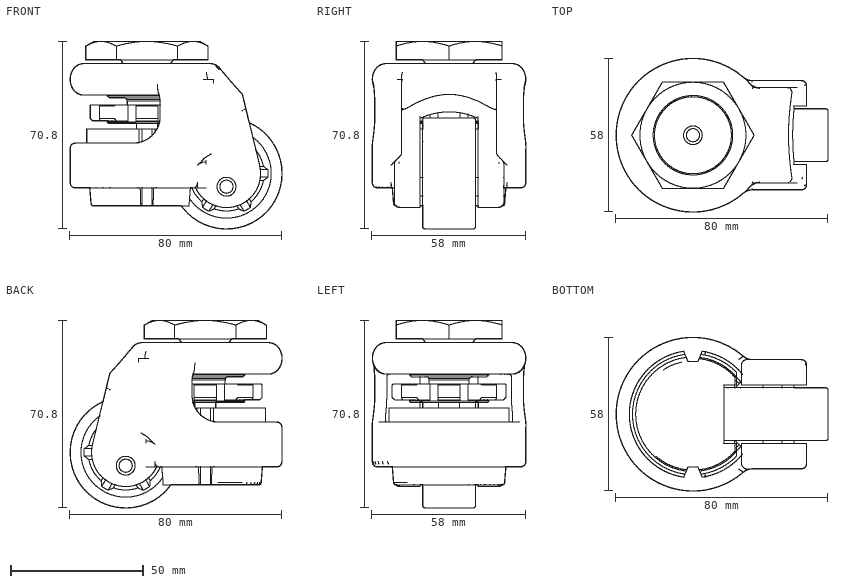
import cadquery as cq
import math


housing_radius = 29.0
cap_top = 62.5
cap_height = 12.0
cap_bottom = cap_top - cap_height
cap_middle = cap_top - cap_height / 2
cap_flat_radius = 23.7
cap_round = 5.0
cap_round_sweep = 60.0
stem_diameter = 18.0
boss_diameter = 30.0
boss_height = 1.0

ring_bottom = 15.5
ring_top = 32.5
edge_round = 2.0
room_radius = 24.0
room_round = 1.0

window_edge = 5.0
window_round = 10.0
window_rise = 47.8

ramp_angle = 49.0
ramp_sink = 0.1
rear_lean = 13.6
roof_drop = 4.8
tail_start = 16.0
web_half_width = 17.9
cheek_half_width = 20.6
cheek_top = 26.7
cheek_slope_length = cheek_half_width - web_half_width
cheek_step_round = 2.0
tail_edge_round = 2.0
blend_radius = 5.0
slot_half_width = 11.0

wheel_x = 30.0
wheel_diameter = 42.0
wheel_radius = wheel_diameter / 2
wheel_z = wheel_radius
wheel_width = 20.0
wheel_edge_round = 1.0
fork_end_radius = 12.9
rim_mouth_radius = 16.9
rim_inner_radius = 16.0
rim_recess = 1.6
pocket_depth = 4.8
wheel_hub_diameter = 24.0
rib_count = 6
pocket_floor_radius = 14.2
rib_top_width = 2.8
rib_base_width = 5.3
rib_height = 4.0

pin_diameter = 7.1
pin_z = 16.0
pin_recess = 2.0
dome_diameter = 5.0
dome_height = 1.8

nut_top = 70.8
nut_height = 7.0
nut_bottom = nut_top - nut_height
nut_flats = 40.0
nut_chamfer_angle = 30.0
neck_flare = 1.0
nut_recess_diameter = 30.0
nut_recess_depth = 0.5
stem_bottom = 48.4
stem_tip_length = 0.4
stem_chamfer = 1.4
spindle_diameter = 7.0

teeth_count = 8
tooth_width = 8.4
teeth_radius = 21.4
teeth_bottom = 40.8
teeth_top = 46.9
tooth_side_round = 0.5
tooth_top_chamfer = 0.4
tooth_bottom_chamfer = 1.0
thumb_hub_diameter = 30.0
thumb_bottom = 39.9
thumb_hub_chamfer = 0.4
collar_diameter = 15.0

foot_top = 37.8
foot_bottom = 8.7
foot_radius = 22.8
foot_lower_radius = 21.6
foot_draft = 0.6
foot_edge_round = 1.0
foot_end_x = 16.4
foot_stem_diameter = 8.0
dish_rim_radius = 18.2
dish_floor_radius = 17.0
dish_depth = 0.5
wheel_gap = 1.0
notch_floor_y = 19.9
notch_floor_half_width = 1.88
notch_mouth_half_width = 3.1

reach = 80.0


def revolve_about_stem(outline):
    """Solid of revolution of an (r, z) outline about the Z axis."""
    return outline.close().revolve(360, (0, 0, 0), (0, 1, 0))


def disc(radius, z_low, z_high):
    return cq.Workplane("XY", origin=(0, 0, z_low)).circle(radius).extrude(z_high - z_low)


def round_point(center_r, center_z, radius, angle):
    """Point on a circle, the angle measured from +Z towards +R."""
    turn = math.radians(angle)
    return center_r + radius * math.sin(turn), center_z + radius * math.cos(turn)


def domed_rod(diameter, length):
    """Rod along +Z from the origin, its far end carrying a spherical dome on a flat rim."""
    base_radius = dome_diameter / 2
    sphere_radius = (base_radius**2 + dome_height**2) / (2 * dome_height)
    sphere_z = length + dome_height - sphere_radius
    base_angle = math.degrees(math.acos((sphere_radius - dome_height) / sphere_radius))
    dome = (
        cq.Workplane("XZ")
        .moveTo(0, length)
        .lineTo(base_radius, length)
        .threePointArc(
            round_point(0, sphere_z, sphere_radius, base_angle / 2),
            (0, length + dome_height),
        )
    )
    return disc(diameter / 2, 0, length).union(revolve_about_stem(dome))


def housing_cap():
    """Round plate with a soft rim: two corner arcs joined by a flatter bulge."""
    upper_z = cap_top - cap_round
    lower_z = cap_bottom + cap_round
    half_sweep = cap_round_sweep / 2
    outline = (
        cq.Workplane("XZ")
        .moveTo(0, cap_bottom)
        .lineTo(cap_flat_radius, cap_bottom)
        .threePointArc(
            round_point(cap_flat_radius, lower_z, cap_round, 180 - half_sweep),
            round_point(cap_flat_radius, lower_z, cap_round, 180 - cap_round_sweep),
        )
        .threePointArc(
            (housing_radius, cap_middle),
            round_point(cap_flat_radius, upper_z, cap_round, cap_round_sweep),
        )
        .threePointArc(
            round_point(cap_flat_radius, upper_z, cap_round, half_sweep),
            (cap_flat_radius, cap_top),
        )
        .lineTo(0, cap_top)
    )
    return revolve_about_stem(outline)


def housing_ring():
    """Lower ring and side columns, with the front window cut through."""
    body = disc(housing_radius, ring_bottom, cap_middle).faces("<Z").edges().fillet(edge_round)
    arc_x = window_edge - window_round
    low_z = ring_top + window_round
    half = window_round * math.sqrt(0.5)
    high_rise = cap_middle - window_rise
    high_x = arc_x + math.sqrt(window_round**2 - high_rise**2)
    mid_x = arc_x + math.sqrt(window_round**2 - (high_rise / 2) ** 2)
    window = (
        cq.Workplane("XZ")
        .moveTo(-reach, ring_top)
        .lineTo(arc_x, ring_top)
        .threePointArc((arc_x + half, low_z - half), (window_edge, low_z))
        .lineTo(window_edge, window_rise)
        .threePointArc((mid_x, window_rise + high_rise / 2), (high_x, cap_middle))
        .lineTo(-reach, cap_middle)
        .close()
        .extrude(reach, both=True)
    )
    body = body.cut(window)
    rim = cq.selectors.BoxSelector(
        (-reach, -reach, ring_top - 0.1), (window_edge + 0.1, reach, cap_middle - 0.1)
    )
    outer_edges = [
        edge
        for edge in body.edges(rim).vals()
        if all(
            math.hypot(*edge.positionAt(t).toTuple()[:2]) > housing_radius - 0.01
            for t in (0.25, 0.5, 0.75)
        )
    ]
    return body.newObject(outer_edges).fillet(edge_round)


def ramp_cone(drop):
    """Cone whose side is tangent to the cap rim and falls away from it, lowered by drop."""
    tangent = round_point(cap_flat_radius, cap_top - cap_round, cap_round, ramp_angle)
    slope = math.tan(math.radians(ramp_angle))
    apex_z = tangent[1] + tangent[0] * slope
    outline = (
        cq.Workplane("XZ")
        .moveTo(0, apex_z)
        .lineTo(0, apex_z - reach * slope)
        .lineTo(reach, apex_z - reach * slope)
    )
    return revolve_about_stem(outline).translate((0, 0, -drop))


def is_tail_outline(edge):
    """True for the edges that run along the ramp, the rear and the round of a tail side."""
    box = edge.BoundingBox()
    on_one_side = box.ymin * box.ymax > 0.64
    level = box.zlen < 0.01
    return on_one_side and box.xmax > tail_start + 0.01 and not level


def tail():
    """Web with thicker cheeks below, ending in a round around the wheel."""
    section = [
        (-cheek_half_width, 0),
        (cheek_half_width, 0),
        (cheek_half_width, cheek_top - cheek_slope_length / 2),
        (web_half_width, cheek_top + cheek_slope_length / 2),
        (web_half_width, reach),
        (-web_half_width, reach),
        (-web_half_width, cheek_top + cheek_slope_length / 2),
        (-cheek_half_width, cheek_top - cheek_slope_length / 2),
    ]
    bar = cq.Workplane("YZ", origin=(tail_start, 0, 0)).polyline(section).close().extrude(reach)
    steps = cq.selectors.BoxSelector(
        (0, -reach, cheek_top - cheek_slope_length),
        (2 * reach, reach, cheek_top + cheek_slope_length),
    )
    bar = bar.edges("|X").edges(steps).fillet(cheek_step_round)

    low_x = wheel_x - math.sqrt(fork_end_radius**2 - (wheel_z - ring_bottom) ** 2)
    lean = math.radians(rear_lean)
    tangent = (
        wheel_x + fork_end_radius * math.cos(lean),
        wheel_z + fork_end_radius * math.sin(lean),
    )
    top_x = tangent[0] - (reach - tangent[1]) * math.tan(lean)
    side = (
        cq.Workplane("XZ")
        .moveTo(tail_start, ring_bottom)
        .lineTo(low_x, ring_bottom)
        .threePointArc((wheel_x, wheel_z - fork_end_radius), tangent)
        .lineTo(top_x, reach)
        .lineTo(tail_start, reach)
        .close()
        .extrude(reach, both=True)
    )
    body = bar.intersect(side).intersect(ramp_cone(ramp_sink))
    outline_edges = [edge for edge in body.edges().vals() if is_tail_outline(edge)]
    body = body.newObject(outline_edges).fillet(tail_edge_round)
    rim_radius = round_point(cap_flat_radius, 0, cap_round, ramp_angle)[0]
    return body.cut(disc(rim_radius, cap_middle, reach))


def blend(half_width, z_low, z_high):
    """Concave fillet between the housing cylinder and a flat side at +Y."""
    center_y = half_width + blend_radius
    center_distance = housing_radius + blend_radius
    center_x = math.sqrt(center_distance**2 - center_y**2)
    touch = (
        center_x * housing_radius / center_distance,
        center_y * housing_radius / center_distance,
    )
    mid_angle = (math.atan2(-center_y, -center_x) - math.pi / 2) / 2
    middle = (
        center_x + blend_radius * math.cos(mid_angle),
        center_y + blend_radius * math.sin(mid_angle),
    )
    return (
        cq.Workplane("XY", origin=(0, 0, z_low))
        .moveTo(*touch)
        .threePointArc(middle, (center_x, half_width))
        .lineTo(center_x, half_width - 0.8)
        .lineTo(tail_start, half_width - 0.8)
        .close()
        .extrude(z_high - z_low)
    )


def housing_room():
    """Room inside the housing for the foot, the thumbwheel and the wheel."""
    bore = disc(room_radius, ring_bottom, cap_bottom)
    slot = (
        cq.Workplane("XY")
        .rect(reach, 2 * slot_half_width)
        .extrude(cap_bottom)
        .translate((reach / 2, 0, 0))
        .intersect(ramp_cone(roof_drop))
    )
    corners = cq.selectors.BoxSelector(
        (tail_start, -slot_half_width - 0.1, ring_bottom + 0.8),
        (room_radius, slot_half_width + 0.1, cap_bottom),
    )
    room = bore.union(slot)
    room = room.edges("|Z").edges(corners).fillet(room_round)
    return room.faces(">Z").edges().fillet(room_round)


def foot_notch(side):
    """Flared vertical notch in the foot, on the +Y (1) or -Y (-1) side."""
    flare = (notch_mouth_half_width - notch_floor_half_width) / (foot_radius - notch_floor_y)
    far_half_width = notch_mouth_half_width + 1.6 * flare
    outline = [
        (-notch_floor_half_width, side * notch_floor_y),
        (notch_floor_half_width, side * notch_floor_y),
        (far_half_width, side * (foot_radius + 1.6)),
        (-far_half_width, side * (foot_radius + 1.6)),
    ]
    return cq.Workplane("XY").polyline(outline).close().extrude(reach)


def make_housing():
    body = housing_cap().union(housing_ring()).union(tail())
    step_low = cheek_top - cheek_slope_length / 2
    step_high = cheek_top + cheek_slope_length / 2
    slope = (
        cq.Workplane("YZ")
        .moveTo(0, 0)
        .lineTo(cheek_half_width + cheek_slope_length, 0)
        .lineTo(cheek_half_width + cheek_slope_length, step_low - cheek_slope_length)
        .lineTo(web_half_width, step_high)
        .lineTo(0, step_high)
        .close()
        .extrude(reach)
    )
    lower_blend = blend(cheek_half_width, ring_bottom, step_high).intersect(slope)
    upper_blend = blend(web_half_width, cheek_top, cap_middle)
    for one_blend in (lower_blend, upper_blend):
        body = body.union(one_blend).union(one_blend.mirror("XZ"))
    body = body.cut(housing_room())

    boss = disc(boss_diameter / 2, cap_bottom - boss_height, cap_bottom)
    body = body.union(boss.faces("<Z").edges().chamfer(boss_height * 0.8))
    for side in (1, -1):
        key = foot_notch(side).intersect(disc(room_radius + 0.4, ring_bottom, ring_top))
        body = body.union(key)
    body = body.cut(disc(stem_diameter / 2, cap_bottom - boss_height, cap_top))
    pin_hole = pin_rod(2 * cheek_half_width)
    return body.cut(pin_hole)


def pin_rod(length):
    return (
        cq.Workplane("XZ", origin=(wheel_x, length / 2, pin_z))
        .circle(pin_diameter / 2)
        .extrude(length)
    )


def wheel_recess():
    """Hollow in the -Y face of the wheel: flared rim mouth, then pockets between ribs."""
    outer_face = -wheel_width / 2
    rib_face = outer_face + rim_recess
    floor = outer_face + rim_recess + pocket_depth
    outline = (
        cq.Workplane("XY")
        .moveTo(wheel_hub_diameter / 2, outer_face)
        .lineTo(rim_mouth_radius, outer_face)
        .lineTo(rim_inner_radius, rib_face)
        .lineTo(pocket_floor_radius, floor)
        .lineTo(wheel_hub_diameter / 2, floor)
        .close()
    )
    ring = outline.revolve(360, (0, 0, 0), (0, 1, 0))
    rib_section = [
        (floor, -rib_base_width / 2),
        (floor - rib_height, -rib_top_width / 2),
        (floor - rib_height, rib_top_width / 2),
        (floor, rib_base_width / 2),
    ]
    for index in range(rib_count):
        rib = cq.Workplane("YZ").polyline(rib_section).close().extrude(rim_inner_radius)
        rib = rib.rotate((0, 0, 0), (0, 1, 0), index * 360 / rib_count)
        ring = ring.cut(rib)
    return ring


def make_wheel():
    tread = cq.Workplane("XZ", origin=(0, wheel_width / 2, 0)).circle(wheel_radius)
    body = tread.extrude(wheel_width).edges().fillet(wheel_edge_round)
    recess = wheel_recess()
    body = body.cut(recess).cut(recess.mirror("XZ"))
    return body.translate((wheel_x, 0, wheel_z)).cut(pin_rod(wheel_width))


def make_pin():
    half_length = cheek_half_width - pin_recess
    half = domed_rod(pin_diameter, half_length).rotate((0, 0, 0), (1, 0, 0), 90)
    return half.union(half.mirror("XZ")).translate((wheel_x, 0, pin_z))


def make_nut():
    corner_diameter = nut_flats / math.cos(math.pi / 6)
    hexagon = (
        cq.Workplane("XY", origin=(0, 0, nut_bottom))
        .polygon(6, corner_diameter)
        .extrude(nut_height)
    )
    chamfer_run = (corner_diameter - nut_flats) / 2
    chamfer_drop = chamfer_run * math.tan(math.radians(nut_chamfer_angle))
    chamfer_cone = (
        cq.Workplane("XZ")
        .moveTo(0, nut_bottom)
        .lineTo(corner_diameter / 2, nut_bottom)
        .lineTo(corner_diameter / 2, nut_top - chamfer_drop)
        .lineTo(nut_flats / 2, nut_top)
        .lineTo(0, nut_top)
    )
    head = hexagon.intersect(revolve_about_stem(chamfer_cone))

    stem_radius = stem_diameter / 2
    stem_outline = (
        cq.Workplane("XZ")
        .moveTo(0, stem_bottom)
        .lineTo(stem_radius - stem_chamfer, stem_bottom)
        .lineTo(stem_radius - stem_chamfer, stem_bottom + stem_tip_length)
        .lineTo(stem_radius, stem_bottom + stem_tip_length + stem_chamfer)
        .lineTo(stem_radius, cap_top)
        .lineTo(stem_radius + neck_flare, nut_bottom)
        .lineTo(0, nut_bottom)
    )
    recess_radius = nut_recess_diameter / 2
    recess = (
        cq.Workplane("XZ")
        .moveTo(0, nut_top - nut_recess_depth)
        .lineTo(recess_radius - nut_recess_depth, nut_top - nut_recess_depth)
        .lineTo(recess_radius, nut_top)
        .lineTo(0, nut_top)
    )
    bore = disc(spindle_diameter / 2, stem_bottom, nut_top)
    return head.union(revolve_about_stem(stem_outline)).cut(revolve_about_stem(recess)).cut(bore)


def thumb_tooth():
    """Tooth along +X, its outer end chamfered at the bottom and rounded at the sides."""
    profile = [
        (0, teeth_bottom),
        (teeth_radius - tooth_bottom_chamfer, teeth_bottom),
        (teeth_radius, teeth_bottom + tooth_bottom_chamfer),
        (teeth_radius, teeth_top - tooth_top_chamfer),
        (teeth_radius - tooth_top_chamfer, teeth_top),
        (0, teeth_top),
    ]
    body = cq.Workplane("XZ").polyline(profile).close().extrude(tooth_width / 2, both=True)
    bar = cq.Workplane("XY").rect(2 * teeth_radius, tooth_width).extrude(reach)
    return body.intersect(bar.edges("|Z").fillet(tooth_side_round))


def make_thumbwheel():
    body = disc(thumb_hub_diameter / 2, thumb_bottom, teeth_top)
    body = body.faces("<Z").edges().chamfer(thumb_hub_chamfer)
    for index in range(teeth_count):
        body = body.union(thumb_tooth().rotate((0, 0, 0), (0, 0, 1), index * 360 / teeth_count))
    collar = disc(collar_diameter / 2, teeth_top, stem_bottom)
    spindle = domed_rod(spindle_diameter, nut_bottom - teeth_top).translate((0, 0, teeth_top))
    return body.union(collar).union(spindle)


def make_foot():
    outline = (
        cq.Workplane("XZ")
        .moveTo(0, foot_bottom)
        .lineTo(foot_lower_radius - foot_draft, foot_bottom)
        .lineTo(foot_lower_radius, ring_bottom)
        .lineTo(foot_radius, ring_bottom)
        .lineTo(foot_radius, foot_top)
        .lineTo(dish_rim_radius, foot_top)
        .lineTo(dish_floor_radius, foot_top - dish_depth)
        .lineTo(foot_stem_diameter / 2, foot_top - dish_depth)
        .lineTo(foot_stem_diameter / 2, thumb_bottom)
        .lineTo(0, thumb_bottom)
    )
    body = revolve_about_stem(outline).faces("<Z").edges().fillet(foot_edge_round)
    for side in (1, -1):
        body = body.cut(foot_notch(side))

    end_cut = (
        cq.Workplane("XZ")
        .moveTo(foot_end_x - foot_draft, foot_bottom)
        .lineTo(foot_end_x, ring_bottom)
        .lineTo(foot_end_x, foot_top)
        .lineTo(reach, foot_top)
        .lineTo(reach, foot_bottom)
        .close()
        .extrude(reach, both=True)
    )
    clearance = (
        cq.Workplane("XZ", origin=(wheel_x, slot_half_width, wheel_z))
        .circle(wheel_radius + wheel_gap)
        .extrude(2 * slot_half_width)
    )
    return body.cut(end_cut).cut(clearance)


housing = make_housing()
wheel = make_wheel()
pin = make_pin()
nut = make_nut()
thumbwheel = make_thumbwheel()
foot = make_foot()

result = cq.Compound.makeCompound(
    [housing.val(), wheel.val(), pin.val(), nut.val(), thumbwheel.val(), foot.val()]
)